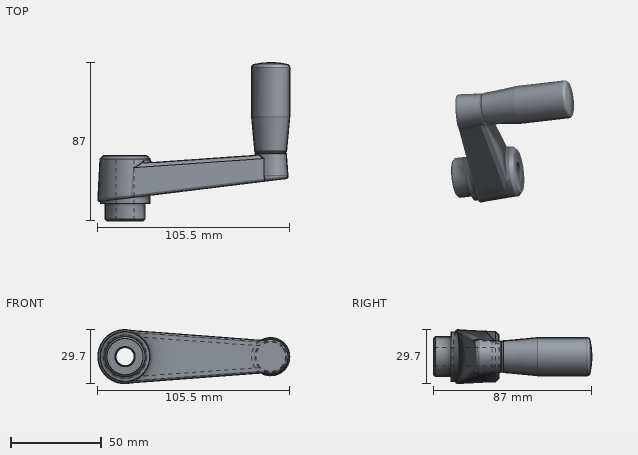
import cadquery as cq
import math


bore_d = 10.0
bore_chamfer = 0.5
boss_d = 22.0
boss_chamfer = 1.1
collar_y = 9.6
collar_front_r = 13.6
collar_draft = 1.0
hub_back_y = 35.9
hub_back_r = 13.8
hub_chamfer = 1.9
hub_draft = 2.9
hub_inner_y = hub_back_y / 2

underside_y = 12.3
underside_slope = 7.0
underside_fillet = 1.1
arm_back_y = 31.0
arm_back_slope = 4.0
arm_draft = 4.0
arm_base_y = 9.5
arm_start_x = 1.1
arm_start_half = 14.9
arm_end_half = 9.6
arm_chamfer = 2.1
root_fillet = 1.5

grip_x = 80.1
eye_r = 9.5
eye_cone_y = 24.9
eye_rim_y = 36.6
eye_back_y = 37.0

grip_r = 21.0 / 2
neck_r = 17.5 / 2
groove_r = 8.1
neck_front_y = 37.3
neck_y = 38.3
neck_cone_end_y = 57.0
grip_edge_y = 86.1
grip_fillet = 1.9
grip_end_y = 87.0

slab_start_x = -52.7
slab_end_x = 158.2
slab_size = 52.7


def tan(degrees):
    return math.tan(math.radians(degrees))


def spin(profile):
    """Close a (radius, Y) profile and revolve it about the Y axis."""
    return profile.close().revolve(360, (0, 0, 0), (0, 1, 0))


def turned(points):
    return spin(cq.Workplane("XY").polyline(points))


def slab(y_on_axis, slope, thickness):
    """Slab with one face on a sloped plane; it extends to +Y, or to -Y when the thickness is negative."""
    start_y = y_on_axis + slab_start_x * tan(slope)
    end_y = y_on_axis + slab_end_x * tan(slope)
    outline = [
        (slab_start_x, start_y),
        (slab_end_x, end_y),
        (slab_end_x, end_y + thickness),
        (slab_start_x, start_y + thickness),
    ]
    return cq.Workplane("XY").polyline(outline).close().extrude(slab_size, both=True)


def trim_underside(body):
    """Cut the sloped underside and round its rim."""
    body = body.cut(slab(underside_y, underside_slope, -slab_size))
    downward = cq.Vector(tan(underside_slope), -1, 0).normalized()
    underside = body.faces(cq.selectors.DirectionMinMaxSelector(downward, True))
    return underside.edges().fillet(underside_fillet)


def make_hub():
    cone_back_y = hub_back_y - hub_chamfer
    base_r = hub_back_r + (cone_back_y - arm_base_y) * tan(hub_draft)
    return turned([
        (0, arm_base_y),
        (base_r, arm_base_y),
        (hub_back_r, cone_back_y),
        (hub_back_r - hub_chamfer, hub_back_y),
        (0, hub_back_y),
    ])


def make_arm():
    """Tapered and drafted bar with a sloped back whose long edges are chamfered."""
    base = cq.Plane(origin=(0, arm_base_y, 0), xDir=(1, 0, 0), normal=(0, 1, 0))
    outline = [
        (arm_start_x, -arm_start_half),
        (grip_x, -arm_end_half),
        (grip_x, arm_end_half),
        (arm_start_x, arm_start_half),
    ]
    bar = cq.Workplane(base).polyline(outline).close().extrude(hub_back_y, taper=arm_draft)
    bar = bar.cut(slab(arm_back_y, arm_back_slope, slab_size))
    long_edges = bar.faces(">Y").edges("<Z or >Z")
    return long_edges.chamfer(arm_chamfer)


def round_root(body):
    """Fillet the curved edge between the hub and the back of the arm."""
    search_box = cq.selectors.BoxSelector(
        (hub_back_r / 2, arm_back_y, -hub_back_r),
        (hub_back_r, arm_back_y + root_fillet, hub_back_r),
    )
    return body.edges(search_box).fillet(root_fillet)


def make_eye():
    rim_r = eye_r - (eye_rim_y - eye_cone_y) * tan(arm_draft)
    return turned([
        (0, arm_base_y),
        (eye_r, arm_base_y),
        (eye_r, eye_cone_y),
        (rim_r, eye_rim_y),
        (rim_r, eye_back_y),
        (0, eye_back_y),
    ]).translate((grip_x, 0, 0))


def make_collar():
    inner_r = collar_front_r + (hub_inner_y - collar_y) * tan(collar_draft)
    return turned([
        (0, collar_y),
        (collar_front_r, collar_y),
        (inner_r, hub_inner_y),
        (0, hub_inner_y),
    ])


def make_boss():
    boss_r = boss_d / 2
    return turned([
        (0, 0),
        (boss_r - boss_chamfer, 0),
        (boss_r, boss_chamfer),
        (boss_r, hub_inner_y),
        (0, hub_inner_y),
    ])


def make_bore():
    bore_r = bore_d / 2
    return turned([
        (0, 0),
        (bore_r + bore_chamfer, 0),
        (bore_r, bore_chamfer),
        (bore_r, hub_back_y),
        (0, hub_back_y),
    ])


def make_grip():
    """Turned grip with a grooved neck, a rounded rim and a shallow domed end."""
    rim_r = grip_r - grip_fillet
    dome_height = grip_end_y - grip_edge_y
    dome_r = (rim_r**2 + dome_height**2) / (2 * dome_height)
    profile = (
        cq.Workplane("XY")
        .moveTo(0, eye_cone_y)
        .lineTo(groove_r, eye_cone_y)
        .lineTo(groove_r, neck_front_y)
        .lineTo(neck_r, neck_y)
        .lineTo(grip_r, neck_cone_end_y)
        .lineTo(grip_r, grip_edge_y - grip_fillet)
        .radiusArc((rim_r, grip_edge_y), -grip_fillet)
        .radiusArc((0, grip_end_y), -dome_r)
    )
    return spin(profile).translate((grip_x, 0, 0))


crank = round_root(trim_underside(make_hub()).union(trim_underside(make_arm())))
crank = crank.union(trim_underside(make_eye()))
crank = crank.union(make_collar()).union(make_boss()).union(make_grip())
result = crank.cut(make_bore())